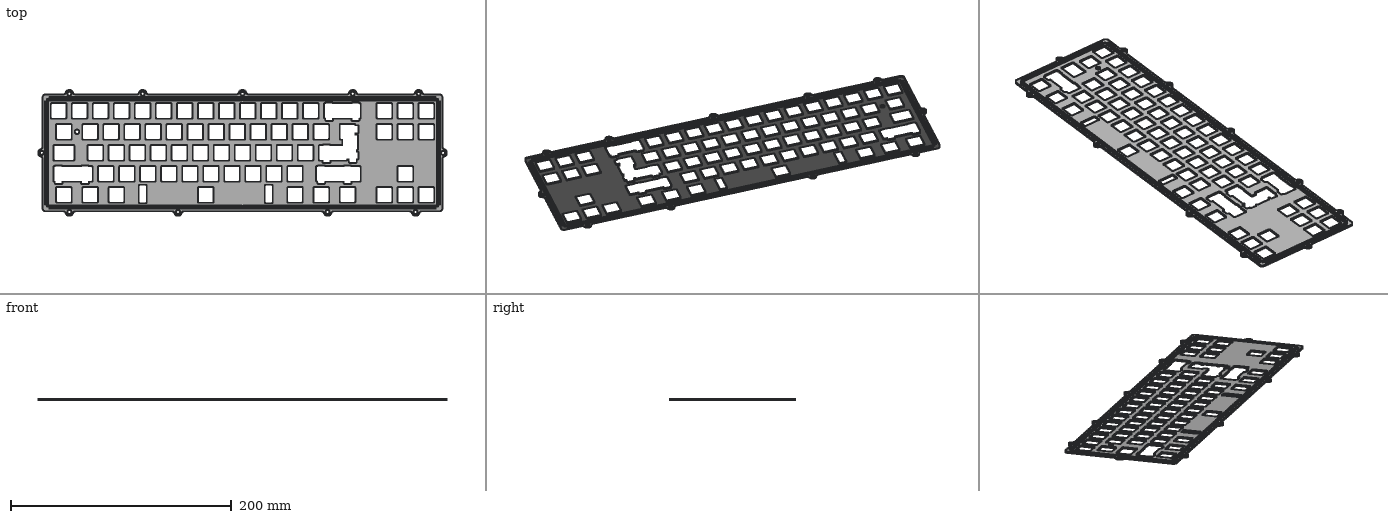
import cadquery as cq

length_x = 370.79
width_y = 114.22
thickness = 1.5

tab_radius = 3.5
tab_fillet = 2.0
tab_offset = 0.5
tab_hole_diameter = 3.5
back_tab_x = (-157.0, -90.5, 0.0, 100.0, 159.7)
front_tab_x = (-157.0, -58.5, 77.2, 157.0)

rim_x = length_x - 2 * (tab_radius + tab_offset)
rim_y = width_y - 2 * (tab_radius + tab_offset)
rim_corner_radius = 3.0

key_pitch = 19.05
layout_units = 18.5
row_count = 5
switch_size = 14.0
switch_corner_radius = 0.75

switch_rows = (
    (0.5, 1.5, 2.5, 3.5, 4.5, 5.5, 6.5, 7.5, 8.5, 9.5, 10.5, 11.5, 12.5, 13.5, 14, 14.5, 16, 17, 18),
    (0.75, 2, 3, 4, 5, 6, 7, 8, 9, 10, 11, 12, 13, 14.25, 16, 17, 18),
    (0.625, 0.875, 2.25, 3.25, 4.25, 5.25, 6.25, 7.25, 8.25, 9.25, 10.25, 11.25, 12.25, 13.25, 13.875),
    (0.625, 1.125, 1.75, 2.75, 3.75, 4.75, 5.75, 6.75, 7.75, 8.75, 9.75, 10.75, 11.75,
     13.125, 13.625, 14, 14.5, 17),
    (0.75, 2, 3.25, 7.5, 11.75, 13, 14.25, 16, 17, 18),
)

backspace_unit = 14
backspace_row = 0
tall_enter_unit = 14.375
tall_enter_row = 1.5
wide_enter_unit = 13.875
wide_enter_row = 2
left_shift_unit = 1.125
right_shift_unit = 13.625
shift_row = 3
space_bar_unit = 7.5
space_bar_row = 4

stabilizer_width = 7.0
stabilizer_long_reach = 9.0
stabilizer_short_reach = 7.5
stabilizer_corner_radius = 0.75
short_spacing = 11.938
space_bar_spacing = 57.15

plate_hole_diameter = 4.0
plate_hole_unit = 1.375
plate_hole_row = 1

slit_width = 1.0
web_width = 1.0
bridge_width = 2.0
outer_slit_setback = 1.0
key_area_x = layout_units * key_pitch
key_area_y = row_count * key_pitch


def key_position(unit, row):
    """Centre of a key; rows count from the back of the plate."""
    x = (unit - layout_units / 2) * key_pitch
    y = ((row_count - 1) / 2 - row) * key_pitch
    return x, y


def box(size_x, size_y, center):
    """Box through the plate thickness, centred on a point in plan."""
    return cq.Workplane("XY").center(*center).rect(size_x, size_y).extrude(thickness)


def rounded_box(size_x, size_y, center, corner_radius):
    """Box through the plate thickness with rounded upright edges."""
    return box(size_x, size_y, center).edges("|Z").fillet(corner_radius)


def cylinders(diameter, centers):
    """Cylinders through the plate thickness, centred on points in plan."""
    return cq.Workplane("XY").pushPoints(centers).circle(diameter / 2).extrude(thickness)


def tab_centers():
    edge_x = rim_x / 2 + tab_offset
    edge_y = rim_y / 2 + tab_offset
    back = [(x, edge_y) for x in back_tab_x]
    front = [(x, -edge_y) for x in front_tab_x]
    sides = [(-edge_x, 0), (edge_x, 0)]
    return back + front + sides


def make_rim():
    """Rounded plate with drilled round tabs blended into its edges."""
    centers = tab_centers()
    rim = rounded_box(rim_x, rim_y, (0, 0), rim_corner_radius)
    rim = rim.union(cylinders(2 * tab_radius, centers))
    reach = tab_radius + tab_fillet
    for x, y in centers:
        low_corner = (x - reach, y - reach, -thickness)
        high_corner = (x + reach, y + reach, 2 * thickness)
        near_tab = cq.selectors.BoxSelector(low_corner, high_corner)
        rim = rim.edges("|Z").edges(near_tab).fillet(tab_fillet)
    return rim.cut(cylinders(tab_hole_diameter, centers))


def switch_cutouts():
    """Square switch openings; neighbours that overlap merge into wider ones."""
    centers = [key_position(unit, row) for row, units in enumerate(switch_rows) for unit in units]
    centers.append(key_position(tall_enter_unit, tall_enter_row))
    return [rounded_box(switch_size, switch_size, center, switch_corner_radius) for center in centers]


def stabilizer_pair(unit, row, spacing, long_side=-1, upright=False):
    """Two slots beside a key. long_side is the sign of the direction of the long reach."""
    x, y = key_position(unit, row)
    slot_length = stabilizer_long_reach + stabilizer_short_reach
    shift = long_side * (stabilizer_long_reach - stabilizer_short_reach) / 2
    pair = []
    for offset in (-spacing, spacing):
        if upright:
            slot = (slot_length, stabilizer_width, (x + shift, y + offset))
        else:
            slot = (stabilizer_width, slot_length, (x + offset, y + shift))
        pair.append(rounded_box(*slot, stabilizer_corner_radius))
    return pair


def stabilizer_cutouts():
    cutouts = stabilizer_pair(backspace_unit, backspace_row, short_spacing)
    cutouts += stabilizer_pair(wide_enter_unit, wide_enter_row, short_spacing)
    cutouts += stabilizer_pair(left_shift_unit, shift_row, short_spacing)
    cutouts += stabilizer_pair(right_shift_unit, shift_row, short_spacing)
    cutouts += stabilizer_pair(space_bar_unit, space_bar_row, space_bar_spacing, long_side=1)
    cutouts += stabilizer_pair(tall_enter_unit, tall_enter_row, short_spacing, upright=True)
    return cutouts


def enter_relief():
    """Opening that clears the sliver left between the two enter keys and their stabilizers."""
    tall_x, tall_y = key_position(tall_enter_unit, tall_enter_row)
    wide_x, wide_y = key_position(wide_enter_unit, wide_enter_row)
    left = tall_x - switch_size / 2
    right = wide_x + short_spacing
    return box(right - left, tall_y - wide_y, ((left + right) / 2, (tall_y + wide_y) / 2))


def inner_slit():
    """Ring slit around the key area, bridged at the middle of both long sides."""
    ring = box(key_area_x + 2 * slit_width, key_area_y + 2 * slit_width, (0, 0))
    bridges = box(bridge_width, rim_y, (0, 0))
    return ring.cut(box(key_area_x, key_area_y, (0, 0))).cut(bridges)


def outer_slits():
    """Four straight slits outside the web, stopping short of the corners."""
    offset = slit_width + web_width + slit_width / 2
    slits = []
    for side in (-1, 1):
        along_x = (0, side * (key_area_y / 2 + offset))
        along_y = (side * (key_area_x / 2 + offset), 0)
        slits.append(box(key_area_x - 2 * outer_slit_setback, slit_width, along_x))
        slits.append(box(slit_width, key_area_y - 2 * outer_slit_setback, along_y))
    return slits


def plate_hole():
    return cylinders(plate_hole_diameter, [key_position(plate_hole_unit, plate_hole_row)])


cutouts = switch_cutouts() + stabilizer_cutouts() + outer_slits()
cutouts += [enter_relief(), inner_slit(), plate_hole()]
plate = make_rim().val().cut(*[cutout.val() for cutout in cutouts])
result = cq.Workplane(plate.Solids()[0])